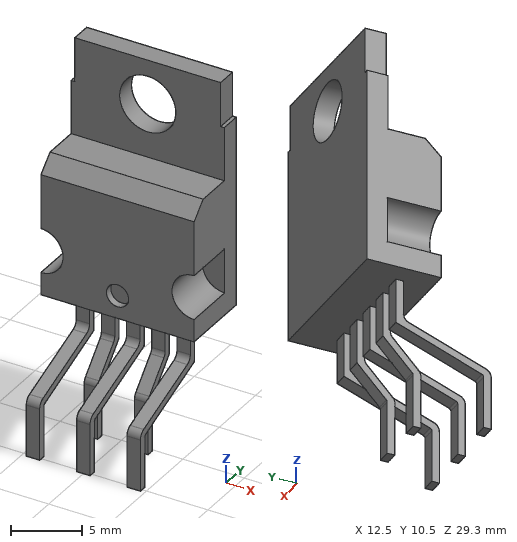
import math

import cadquery as cq


overall_height = 29.28

body_width = 12.48
body_depth = 5.8
body_height = 11.05
top_bevel_depth = 1.25
top_bevel_height = 1.2

tab_thickness = 1.65
tab_top = 19.0
tab_notch = 0.3
shoulder_height = 15.4
hole_diameter = 4.56

pocket_radius = 1.8
pocket_height = 3.63
pocket_floor = 1.6
dimple_diameter = 1.8
dimple_height = 1.85
dimple_depth = 0.6

lead_count = 5
lead_pitch = 2.05
lead_width = 1.1
lead_thickness = 0.6
lead_back = 3.04
lead_tip = tab_top - overall_height
lead_root = 1.0
long_reach = 10.5
short_reach = 6.0
upper_bend = -3.53
long_slope = math.radians(20)
short_slope = math.radians(46.5)
upper_bend_radius = 0.62
lower_bend_radius = 0.68
lower_inner_radius = 0.2


def make_body():
    """Moulded block with a bevel along its top front edge."""
    return (
        cq.Workplane("YZ")
        .moveTo(0, 0)
        .lineTo(-body_depth, 0)
        .lineTo(-body_depth, body_height - top_bevel_height)
        .lineTo(-body_depth + top_bevel_depth, body_height)
        .lineTo(0, body_height)
        .close()
        .extrude(body_width / 2, both=True)
    )


def make_tab():
    """Flat tab above the body: full width up to the shoulders, then narrower, with a hole."""
    lower_tab = cq.Workplane("XY").box(
        body_width, tab_thickness, shoulder_height, centered=(True, False, False)
    )
    upper_tab = cq.Workplane("XY").box(
        body_width - 2 * tab_notch, tab_thickness, tab_top, centered=(True, False, False)
    )
    tab = lower_tab.union(upper_tab).translate((0, -tab_thickness, 0))
    return tab.cut(rod_along_depth(0, shoulder_height, hole_diameter / 2, 0, tab_thickness))


def rod_along_depth(x, z, radius, start, end):
    """Cylinder parallel to Y reaching between two depths below the back face."""
    return (
        cq.Workplane("XZ", origin=(0, -start, 0))
        .center(x, z)
        .circle(radius)
        .extrude(end - start)
    )


def make_lead(x, reach, slope):
    """Flat strip that drops from the body, slopes forward and drops again to its tip."""
    back = -lead_back
    front = back - lead_thickness
    tip_front = -reach
    tip_back = tip_front + lead_thickness

    mitre = lead_thickness * math.tan((math.pi / 2 - slope) / 2)
    drop = (back - tip_back) * math.tan(slope)
    lower_bend = upper_bend - drop

    strip = (
        cq.Workplane("YZ", origin=(x, 0, 0))
        .moveTo(back, lead_root)
        .lineTo(back, upper_bend)
        .lineTo(tip_back, lower_bend)
        .lineTo(tip_back, lead_tip)
        .lineTo(tip_front, lead_tip)
        .lineTo(tip_front, lower_bend + mitre)
        .lineTo(front, upper_bend + mitre)
        .lineTo(front, lead_root)
        .close()
        .extrude(lead_width / 2, both=True)
    )
    strip = round_bend(strip, x, front, upper_bend + mitre, upper_bend_radius)
    strip = round_bend(strip, x, tip_front, lower_bend + mitre, lower_bend_radius)
    return round_bend(strip, x, tip_back, lower_bend, lower_inner_radius)


def round_bend(strip, x, y, z, radius):
    """Round the bend edge of a lead that passes through the given point."""
    edge = cq.selectors.NearestToPointSelector((x, y, z))
    return strip.edges("|X").edges(edge).fillet(radius)


result = make_body().union(make_tab())

for side in (-1, 1):
    result = result.cut(
        rod_along_depth(side * body_width / 2, pocket_height, pocket_radius, pocket_floor, body_depth)
    )

result = result.cut(
    rod_along_depth(0, dimple_height, dimple_diameter / 2, body_depth - dimple_depth, body_depth)
)

for index in range(lead_count):
    lead_x = (index - (lead_count - 1) / 2) * lead_pitch
    if index % 2 == 0:
        lead = make_lead(lead_x, long_reach, long_slope)
    else:
        lead = make_lead(lead_x, short_reach, short_slope)
    result = result.union(lead)